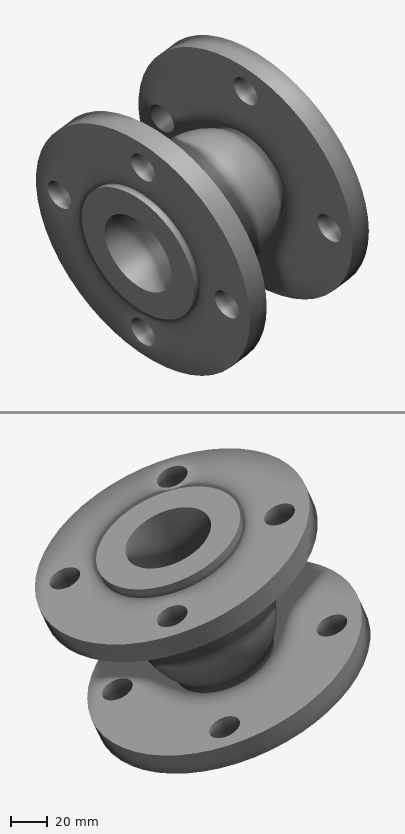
import cadquery as cq
import math

flange_diameter = 160.0
rear_flange_outer = 46.2
rear_flange_inner = 33.3
front_flange_outer = -48.5
front_flange_inner = -35.2

face_diameter = 84.0
half_length = 105.0 / 2

bore_diameter = 50.0
bolt_hole_diameter = 18.0
bolt_circle_diameter = 125.0
bolt_count = 4

neck_radius = 58.0 / 2
bulge_radius = 40.3
bulge_arc_radius = 50.0
neck_fillet_radius = 8.0


def disc(diameter, start_y, end_y):
    """Cylinder along Y between two Y positions."""
    length = end_y - start_y
    return cq.Workplane("XZ", origin=(0, end_y, 0)).circle(diameter / 2).extrude(length)


def bulged_body():
    """Barrel revolved about Y, blending into the necks through tangent concave fillets."""
    arc_center_x = bulge_radius - bulge_arc_radius
    fillet_center_x = neck_radius + neck_fillet_radius
    center_distance = bulge_arc_radius + neck_fillet_radius
    blend_angle = math.acos((fillet_center_x - arc_center_x) / center_distance)
    fillet_center_y = center_distance * math.sin(blend_angle)

    blend_x = arc_center_x + bulge_arc_radius * math.cos(blend_angle)
    blend_y = bulge_arc_radius * math.sin(blend_angle)
    mid_x = fillet_center_x - neck_fillet_radius * math.cos(blend_angle / 2)
    mid_y = fillet_center_y - neck_fillet_radius * math.sin(blend_angle / 2)

    profile = (
        cq.Workplane("XY")
        .moveTo(0, front_flange_outer)
        .lineTo(neck_radius, front_flange_outer)
        .lineTo(neck_radius, -fillet_center_y)
        .threePointArc((mid_x, -mid_y), (blend_x, -blend_y))
        .threePointArc((bulge_radius, 0), (blend_x, blend_y))
        .threePointArc((mid_x, mid_y), (neck_radius, fillet_center_y))
        .lineTo(neck_radius, rear_flange_outer)
        .lineTo(0, rear_flange_outer)
        .close()
    )
    return profile.revolve(360, (0, 0, 0), (0, 1, 0))


def bolt_holes():
    """Through holes evenly spaced on the bolt circle, starting on the X axis."""
    return (
        cq.Workplane("XZ", origin=(0, half_length, 0))
        .polarArray(bolt_circle_diameter / 2, 0, 360, bolt_count)
        .circle(bolt_hole_diameter / 2)
        .extrude(2 * half_length)
    )


body = bulged_body()
body = body.union(disc(flange_diameter, rear_flange_inner, rear_flange_outer))
body = body.union(disc(flange_diameter, front_flange_outer, front_flange_inner))
body = body.union(disc(face_diameter, rear_flange_outer, half_length))
body = body.union(disc(face_diameter, -half_length, front_flange_outer))

bore = disc(bore_diameter, -half_length, half_length)
result = body.cut(bore).cut(bolt_holes())